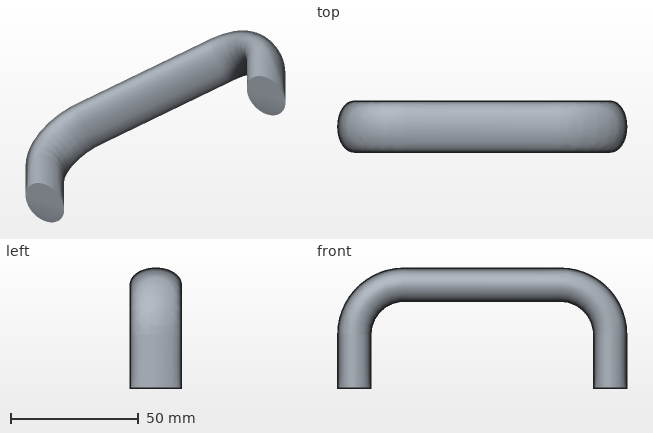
import cadquery as cq

length = 113.0
height = 47.0
grip_width = 20.0
grip_thickness = 13.0
outer_bend_radius = 26.0

bend_radius = outer_bend_radius - grip_thickness / 2
leg_x = (length - grip_thickness) / 2
leg_height = height - outer_bend_radius
bar_z = height - grip_thickness / 2
bar_half_length = leg_x - bend_radius

centreline = (
    cq.Workplane("XZ")
    .moveTo(-leg_x, 0)
    .lineTo(-leg_x, leg_height)
    .tangentArcPoint((-bar_half_length, bar_z), relative=False)
    .lineTo(bar_half_length, bar_z)
    .tangentArcPoint((leg_x, leg_height), relative=False)
    .lineTo(leg_x, 0)
)

result = (
    cq.Workplane("XY")
    .center(-leg_x, 0)
    .ellipse(grip_thickness / 2, grip_width / 2)
    .sweep(centreline)
)